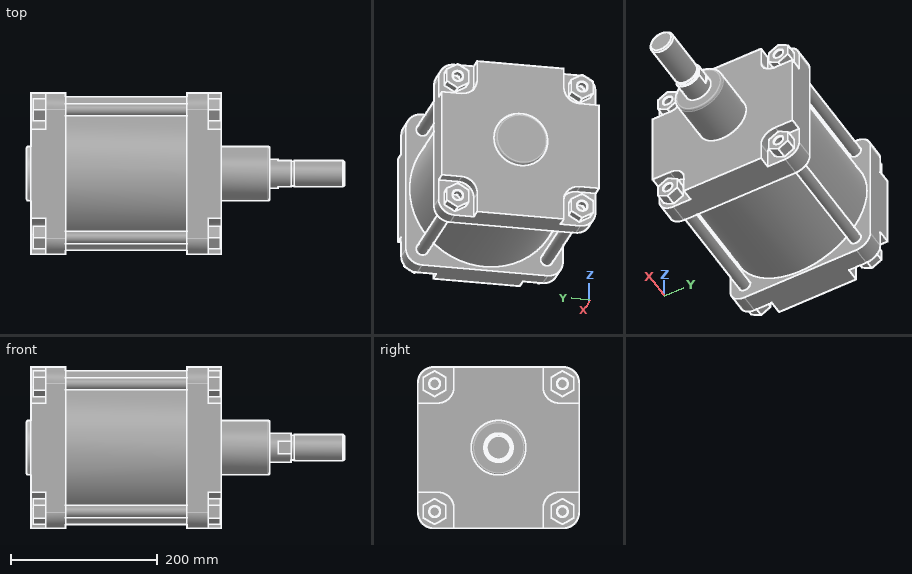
import cadquery as cq


cover_side = 220.0
cover_thickness = 47.0
cover_corner_radius = 22.0
head_pocket_depth = 18.0
cap_pocket_depth = 20.0
pocket_side = 49.5
pocket_corner_radius = 22.0
boss_diameter = 74.5
boss_edge_radius = 3.0
cap_boss_length = 6.0
head_boss_length = 66.0

barrel_diameter = 209.5
barrel_length = 165.0

overall_length = 433.0
collar_diameter = 40.0
collar_length = 29.0
flats_width = 36.0
flats_length = 17.8
thread_diameter = 36.0
thread_chamfer = 2.0
undercut_diameter = 33.8
undercut_length = 4.5

tie_rod_offset = 87.0
tie_rod_diameter = 17.0
nut_across_flats = 30.5
nut_height = 17.0
nut_hole_diameter = 14.0
nut_hole_chamfer = 1.0

cap_outer_x = cap_boss_length
cap_inner_x = cap_outer_x + cover_thickness
head_inner_x = cap_inner_x + barrel_length
head_outer_x = head_inner_x + cover_thickness
boss_end_x = head_outer_x + head_boss_length
collar_end_x = boss_end_x + collar_length
thread_start_x = collar_end_x + undercut_length
cap_seat_x = cap_outer_x + cap_pocket_depth
head_seat_x = head_outer_x - head_pocket_depth

corner_points = [
    (side_y * tie_rod_offset, side_z * tie_rod_offset)
    for side_y in (-1, 1)
    for side_z in (-1, 1)
]


def section_at(x):
    """Workplane across the axis at x: local x is Y, local y is Z, extrusion runs toward +X."""
    return cq.Workplane("YZ", origin=(x, 0, 0))


def cylinder(start_x, end_x, diameter):
    return section_at(start_x).circle(diameter / 2).extrude(end_x - start_x)


def corner_pockets(start_x, depth):
    """Four round-cornered blocks that cut the nut seats out of the corners of a cover."""
    return (
        section_at(start_x)
        .rect(cover_side, cover_side, forConstruction=True)
        .vertices()
        .rect(2 * pocket_side, 2 * pocket_side)
        .extrude(depth)
        .edges("|X")
        .fillet(pocket_corner_radius)
    )


def cover_plate(start_x, pocket_start_x, pocket_depth):
    """Square plate with rounded corners, corner pockets and tie rod holes."""
    plate = (
        section_at(start_x)
        .rect(cover_side, cover_side)
        .extrude(cover_thickness)
        .edges("|X")
        .fillet(cover_corner_radius)
    )
    holes = (
        section_at(start_x)
        .pushPoints(corner_points)
        .circle(tie_rod_diameter / 2)
        .extrude(cover_thickness)
    )
    return plate.cut(corner_pockets(pocket_start_x, pocket_depth)).cut(holes)


def make_cap_cover():
    boss = cylinder(0, cap_outer_x, boss_diameter).faces("<X").edges().fillet(boss_edge_radius)
    return cover_plate(cap_outer_x, cap_outer_x, cap_pocket_depth).union(boss)


def make_head_cover():
    boss = cylinder(head_outer_x, boss_end_x, boss_diameter).faces(">X").edges().fillet(boss_edge_radius)
    rod_bore = cylinder(head_inner_x, boss_end_x, collar_diameter)
    return cover_plate(head_inner_x, head_seat_x, head_pocket_depth).union(boss).cut(rod_bore)


def make_barrel():
    return cylinder(cap_inner_x, head_inner_x, barrel_diameter)


def make_flats_cutter():
    """Two blocks that cut the wrench flats on the -Y and +Y sides of the collar."""
    outside_flats = section_at(collar_end_x).rect(collar_diameter, collar_diameter).extrude(-flats_length)
    between_flats = section_at(collar_end_x).rect(flats_width, collar_diameter).extrude(-flats_length)
    return outside_flats.cut(between_flats)


def make_piston_rod():
    """Rod from the barrel face through the head bore: collar with flats, undercut, threaded end."""
    collar = cylinder(head_inner_x, collar_end_x, collar_diameter).cut(make_flats_cutter())
    undercut = cylinder(collar_end_x, thread_start_x, undercut_diameter)
    thread = cylinder(thread_start_x, overall_length, thread_diameter).faces(">X").chamfer(thread_chamfer)
    return collar.union(undercut).union(thread)


def make_nut(y, z, seat_x, outward):
    """Hex nut with corners toward +Z and -Z; outward is the X direction it stands out from its seat."""
    def at_nut(x):
        return section_at(x).center(y, z)

    outer_x = seat_x + outward * nut_height
    nut = (
        at_nut(seat_x)
        .polygon(6, nut_across_flats, circumscribed=True)
        .extrude(outward * nut_height)
    )
    hole = at_nut(seat_x).circle(nut_hole_diameter / 2).extrude(outward * nut_height)
    countersink = (
        at_nut(outer_x)
        .circle(nut_hole_diameter / 2 + nut_hole_chamfer)
        .workplane(offset=-outward * nut_hole_chamfer)
        .circle(nut_hole_diameter / 2)
        .loft()
    )
    return nut.cut(hole).cut(countersink)


def make_tie_rod(y, z):
    """Tie rod between the two nut seats, in one piece with the nut at each end."""
    shank = (
        section_at(cap_seat_x)
        .center(y, z)
        .circle(tie_rod_diameter / 2)
        .extrude(head_seat_x - cap_seat_x)
    )
    cap_nut = make_nut(y, z, cap_seat_x, -1)
    head_nut = make_nut(y, z, head_seat_x, 1)
    return shank.union(cap_nut).union(head_nut)


cap_cover = make_cap_cover()
head_cover = make_head_cover()
barrel = make_barrel()
piston_rod = make_piston_rod()
tie_rods = [make_tie_rod(y, z) for y, z in corner_points]

result = cq.Compound.makeCompound(
    [
        cap_cover.val(),
        head_cover.val(),
        barrel.val(),
        piston_rod.val(),
        *[tie_rod.val() for tie_rod in tie_rods],
    ]
)